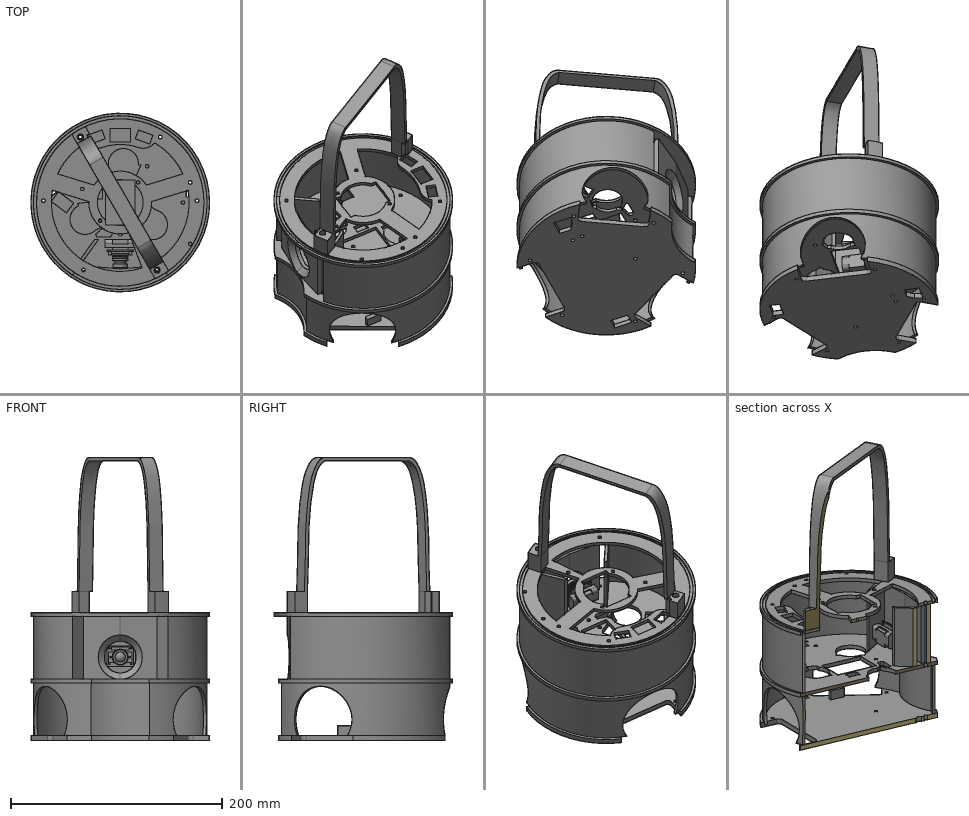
import cadquery as cq
import math

TOTAL_HEIGHT = 268.0
PLATE_DIA = 169.0
WALL_OUTER_DIA = 164.3
WALL_INNER_DIA = 158.5

BASE_TOP = 5.0
MID_BOTTOM = 54.5
MID_TOP = 58.2
LID_BOTTOM = 117.7
LID_TOP = 121.1
LID_GROOVE_DEPTH = 1.5

PLATE_R = PLATE_DIA / 2
WALL_OUTER_R = WALL_OUTER_DIA / 2
WALL_INNER_R = WALL_INNER_DIA / 2
WALL_THICKNESS = WALL_OUTER_R - WALL_INNER_R
RIM_WIDTH = PLATE_R - WALL_OUTER_R

WHEEL_ANGLES = (90, 210, 330)
ARCH_R = 31.4
ARCH_Z = 20.0
WHEEL_SLOT_HALF_WIDTH = 33.8
WHEEL_SLOT_DEPTH_R = 56.3
WHEEL_SLOT_FILLET = 3.8

STOP_X = (46.5, 50.7)
STOP_Y = (-24.0, -9.5)
STOP_TOP = 14.2

FRONT_NOTCH_Y = -122.0
FRONT_NOTCH_R = 52.5

GAP_HALF_WIDTH = 45.0
GAP_Y = -math.sqrt(WALL_OUTER_R**2 - GAP_HALF_WIDTH**2)
BAY_HALF_WIDTH = 20.6
BAY_BACK_Y = -35.0

SCREW_DIA = 3.2
SCREW_R = 72.5
SCREW_ANGLES = (58.6, 1.4, -61.5)

BASE_HOLES = [(-46.0, 4.8), (-45.0, 14.7)]
MIDDLE_HOLES = [(25.5, 34.3), (59.2, 0.0)]
LID_HOLES = [(17.0, 19.0), (-19.0, -17.2), (-36.0, 12.9), (17.2, -39.0), (66.2, 19.0), (66.2, -39.0)]

LEFT_OPENING = [(-72.4, 5.0), (-64.3, 7.0), (-58.0, 11.3), (-58.0, 22.8), (-72.4, 22.8)]
RIGHT_OPENING_X = (62.5, 72.4)
RIGHT_OPENING_Y = (5.4, 22.8)
CABLE_HOLE = (0, -30.0)

MOTOR_HOLE_R = 14.2
MOTOR_HOLE_CENTER_R = 37.0
MOTOR_HOLE_SHIFT = -4.5
MOTOR_CHANNEL = [(36.7, -16.5), (27.3, -13.5), (25.5, 13.5), (36.7, 13.5)]
TILTED_OPENING = (18.0, 11.5)
TILTED_OPENING_CENTER = (-54.7, 0.3)
TILTED_OPENING_ANGLE = -37
CABLE_OPENING = [(-23.3, -30.3), (-22.2, -32.5), (-9.5, -32.5), (-7.8, -30.8), (-7.8, -26.8), (-17.2, -24.0)]
CORNER_OPENING_X = (-24.0, -16.5)
CORNER_OPENING_Y = (3.2, 15.0)

HUB_R = 29.7
HUB_HOLE_R = 21.7
OPENING_R = 65.0
SPOKE_BACK_EDGE = 8.5
SPOKE_FRONT_EDGE = 7.8
SPOKE_ANGLE = 17
ISLAND_R = 55.0
ISLAND_ARC_HALF_ANGLE = 20
ISLAND_BEND = (55.7, 23)
ISLAND_END_HALF_ANGLE = 30
HANDLE_SPOKE = [(5.5, -22.2), (21.5, -63.8), (24.5, -70.2), (38.3, -68.5), (11.0, -22.2)]
SENSOR_WINDOW = (28.0, 43.0)
LID_WINDOW_Y = 63.8
LID_WINDOW = (19.5, 12.9)
SIDE_WINDOW = (14.5, 8.8)
SIDE_WINDOW_R = 66.0
SIDE_WINDOW_OFFSET = 20

HANDLE_ANGLE = -60
HANDLE_WIDTH = 14.7
HANDLE_THICKNESS = 3.2
OUTER_LEG_HALF = 68.5
OUTER_SHOULDER = [(66.7, 206.4), (63.5, 235.8), (60.0, 251.0), (56.0, 260.0), (49.3, 267.2)]
OUTER_TOP_HALF = 45.3
INNER_LEG_HALF = 65.0
INNER_SHOULDER = [(63.2, 204.8), (60.0, 234.2), (56.5, 249.5), (52.8, 258.4)]
INNER_TOP_HALF = 45.5
FOOT_TOP = 141.2
FOOT_INNER = 65.7
FOOT_CLEARANCE = 0.5
FOOT_COUNTERBORE_DIA = 6.0
FOOT_COUNTERBORE_DEPTH = 10.7

PANEL_FRONT_Y = -72.0
PANEL_EDGE_SETBACK = 3.0
PANEL_HALF_WIDTH = 34.5
PANEL_LIP = 4.8
PANEL_THICKNESS = 9.5
PANEL_BACK_HALF_WIDTH = 32.2
LENS_Z = 79.0
PANEL_HOLE_DIA = 30.0
PANEL_CONE_DIA = 41.8
PANEL_CONE_DEPTH = 6.0

CAMERA_BACK_Y = -34.8
HOUSING_STEP_Y = -39.0
HOUSING_FRONT_Y = -42.5
HOUSING_HALF_WIDTH = 14.2
HOUSING_BOTTOM = 71.5
HOUSING_TOP = 87.0
LUG_FILLET = 3.8
CONNECTOR_HALF_WIDTH = 7.5
CONNECTOR_TOP = 85.8
NECK_TOP = 84.5

BOARD_Y = -44.8
BOARD_FRONT_Y = -46.0
BOARD_HALF_WIDTH = 12.5
BOARD_BOTTOM = 70.2
BOARD_TOP = 89.8
HOLDER_FRONT_Y = -49.5
HOLDER_HALF_WIDTH = 11.3
HOLDER_BOTTOM = 74.0
HOLDER_TOP = 84.0
HOLDER_SCREW_X = 9.0
STRIP_FRONT_Y = -48.2
STRIP_HALF_WIDTH = 8.3
STRIP_BOTTOM = 86.0
STRIP_TOP = 88.7
BOARD_HOLE_R = 0.8
BOARD_HOLES = [(10.5, 73.0), (10.5, 87.6)]

BARREL_BACK_Y = HOLDER_FRONT_Y
BARREL_FRONT_Y = -61.5
BARREL_CORE_R = 5.0
BARREL_RINGS = [
    (-49.5, -50.5, 6.7),
    (-50.5, -51.7, 7.5),
    (-51.7, -53.0, 6.7),
    (-53.0, -54.7, 7.5),
    (-54.7, -56.3, 6.0),
    (-58.0, -61.5, 7.0),
]
DOME_R = 4.8
DOME_HEIGHT = 2.5


def polar(radius, angle):
    """Point at a radius and an angle in degrees."""
    return (radius * math.cos(math.radians(angle)), radius * math.sin(math.radians(angle)))


def disc(radius, bottom, top, center=(0, 0)):
    """Upright cylinder between two heights."""
    return cq.Workplane("XY", origin=(*center, bottom)).circle(radius).extrude(top - bottom)


def ring(outer, inner, bottom, top, center=(0, 0)):
    """Upright tube between two heights."""
    return disc(outer, bottom, top, center).cut(disc(inner, bottom, top, center))


def block(x0, x1, y0, y1, z0, z1):
    """Box between two corners."""
    return cq.Workplane("XY").box(x1 - x0, y1 - y0, z1 - z0, centered=False).translate((x0, y0, z0))


def prism(points, bottom, top):
    """Upright prism on a polygon."""
    return cq.Workplane("XY", origin=(0, 0, bottom)).polyline(points).close().extrude(top - bottom)


def holes(points, diameter, bottom, top):
    """Round holes at the given points."""
    plane = cq.Workplane("XY", origin=(0, 0, bottom)).pushPoints(points)
    return plane.circle(diameter / 2).extrude(top - bottom)


def mirrored(points):
    """The points and their mirror images about the YZ plane."""
    return points + [(-x, y) for x, y in points]


def rod(y0, y1, radius, x=0, z=LENS_Z):
    """Cylinder along Y from y0 forwards to y1."""
    return cq.Workplane("XZ", origin=(x, y0, z)).circle(radius).extrude(y0 - y1)


SCREW_POINTS = mirrored([polar(SCREW_R, a) for a in SCREW_ANGLES])


def shared_openings(bottom, top):
    """Openings that line up through the base and middle plates."""
    left = prism(LEFT_OPENING, bottom, top)
    right = block(*RIGHT_OPENING_X, *RIGHT_OPENING_Y, bottom, top)
    return left.union(right).union(holes([CABLE_HOLE], SCREW_DIA, bottom, top))


def front_notch(bottom, top, radius):
    """Cylinder that hollows the front of the lower half."""
    return disc(radius, bottom, top, (0, FRONT_NOTCH_Y))


def wheel_slot(angle):
    """Slot for a wheel, open at the rim and rounded in its inner corners."""
    slot = block(
        WHEEL_SLOT_DEPTH_R, PLATE_DIA, -WHEEL_SLOT_HALF_WIDTH, WHEEL_SLOT_HALF_WIDTH, 0, BASE_TOP
    )
    slot = slot.edges("|Z and <X").fillet(WHEEL_SLOT_FILLET)
    return slot.rotate((0, 0, 0), (0, 0, 1), angle)


def make_base():
    base = disc(PLATE_R, 0, BASE_TOP)
    base = base.cut(front_notch(0, BASE_TOP, FRONT_NOTCH_R - RIM_WIDTH))
    for angle in WHEEL_ANGLES:
        base = base.cut(wheel_slot(angle))
    base = base.cut(holes(SCREW_POINTS + BASE_HOLES, SCREW_DIA, 0, BASE_TOP))
    base = base.cut(shared_openings(0, BASE_TOP))
    stop = block(*STOP_X, *STOP_Y, 0, STOP_TOP)
    return base.union(stop)


def make_lower_wall():
    outside = disc(WALL_OUTER_R, BASE_TOP, MID_BOTTOM)
    outside = outside.cut(front_notch(BASE_TOP, MID_BOTTOM, FRONT_NOTCH_R))
    inside = disc(WALL_INNER_R, BASE_TOP, MID_BOTTOM)
    inside = inside.cut(front_notch(BASE_TOP, MID_BOTTOM, FRONT_NOTCH_R + WALL_THICKNESS))
    wall = outside.cut(inside)
    for angle in WHEEL_ANGLES:
        arch = cq.Workplane("YZ", origin=(0, 0, ARCH_Z)).circle(ARCH_R).extrude(PLATE_DIA)
        wall = wall.cut(arch.rotate((0, 0, 0), (0, 0, 1), angle))
    return wall


def motor_hole(wheel_angle):
    """Round hole with a stepped channel towards the centre, laid out along +X."""
    hole = disc(MOTOR_HOLE_R, MID_BOTTOM, MID_TOP, (MOTOR_HOLE_CENTER_R, 0))
    channel = prism(MOTOR_CHANNEL, MID_BOTTOM, MID_TOP)
    return hole.union(channel).rotate((0, 0, 0), (0, 0, 1), wheel_angle + MOTOR_HOLE_SHIFT)


def cable_openings():
    """Openings near the rim, beside the camera and beside the sensor window."""
    tilted = cq.Workplane("XY", origin=(*TILTED_OPENING_CENTER, MID_BOTTOM))
    tilted = tilted.transformed(rotate=(0, 0, TILTED_OPENING_ANGLE)).rect(*TILTED_OPENING)
    tilted = tilted.extrude(MID_TOP - MID_BOTTOM)
    cable = prism(CABLE_OPENING, MID_BOTTOM, MID_TOP)
    corner = block(*CORNER_OPENING_X, *CORNER_OPENING_Y, MID_BOTTOM, MID_TOP)
    return tilted.union(cable).union(corner)


def make_middle():
    plate = disc(PLATE_R, MID_BOTTOM, MID_TOP)
    plate = plate.cut(front_notch(MID_BOTTOM, MID_TOP, FRONT_NOTCH_R - RIM_WIDTH))
    for angle in WHEEL_ANGLES:
        plate = plate.cut(motor_hole(angle))
    width, length = SENSOR_WINDOW
    plate = plate.cut(block(-width / 2, width / 2, -length / 2, length / 2, MID_BOTTOM, MID_TOP))
    plate = plate.cut(cable_openings())
    plate = plate.cut(shared_openings(MID_BOTTOM, MID_TOP))
    return plate.cut(holes(SCREW_POINTS + MIDDLE_HOLES, SCREW_DIA, MID_BOTTOM, MID_TOP))


def gap_edge(y, offset=0):
    """Point on the left side plane of the camera bay, moved outwards by an offset."""
    slope = (GAP_HALF_WIDTH - BAY_HALF_WIDTH) / (BAY_BACK_Y - GAP_Y)
    shift = offset * math.hypot(1, slope)
    return (-BAY_HALF_WIDTH - slope * (BAY_BACK_Y - y) - shift, y)


def make_upper_wall():
    """Open ring whose two ends turn inwards as the sides of the camera bay."""
    top = LID_TOP - LID_GROOVE_DEPTH
    wall = ring(WALL_OUTER_R, WALL_INNER_R, MID_TOP, top)
    inner = [gap_edge(BAY_BACK_Y), gap_edge(-PLATE_R)]
    outer = [gap_edge(-PLATE_R, WALL_THICKNESS), gap_edge(BAY_BACK_Y, WALL_THICKNESS)]
    wall = wall.cut(prism(inner + [(-x, y) for x, y in reversed(inner)], MID_TOP, top))
    side = prism(inner + outer, MID_TOP, LID_BOTTOM)
    side = side.intersect(disc(WALL_OUTER_R, MID_TOP, LID_BOTTOM))
    return wall.union(side).union(side.mirror("YZ"))


def window_island():
    """Part of the rim that widens inwards to carry the three windows."""
    outer_r = OPENING_R + 2.7
    bend_r, bend_angle = ISLAND_BEND
    left_end = 90 + ISLAND_END_HALF_ANGLE
    right_end = 90 - ISLAND_END_HALF_ANGLE
    left_arc = polar(ISLAND_R, 90 + ISLAND_ARC_HALF_ANGLE)
    right_arc = polar(ISLAND_R, 90 - ISLAND_ARC_HALF_ANGLE)
    island = (
        cq.Workplane("XY", origin=(0, 0, LID_BOTTOM))
        .moveTo(*polar(outer_r, left_end))
        .lineTo(*polar(OPENING_R, left_end))
        .spline([polar(bend_r, 90 + bend_angle), left_arc], includeCurrent=True)
        .threePointArc((0, ISLAND_R), right_arc)
        .spline([polar(bend_r, 90 - bend_angle), polar(OPENING_R, right_end)], includeCurrent=True)
        .lineTo(*polar(outer_r, right_end))
        .threePointArc((0, outer_r), polar(outer_r, left_end))
        .close()
    )
    return island.extrude(LID_TOP - LID_BOTTOM)


def lid_openings():
    """Ring between hub and rim, interrupted by three spokes and the island."""
    openings = ring(OPENING_R, HUB_R, LID_BOTTOM, LID_TOP)
    spoke = block(0, PLATE_R, -SPOKE_FRONT_EDGE, SPOKE_BACK_EDGE, LID_BOTTOM, LID_TOP)
    spoke = spoke.rotate((0, 0, 0), (0, 0, 1), SPOKE_ANGLE)
    openings = openings.cut(spoke).cut(spoke.mirror("YZ"))
    handle_spoke = prism(HANDLE_SPOKE, LID_BOTTOM, LID_TOP)
    return openings.cut(handle_spoke).cut(window_island())


def side_window(side, margin, bottom, top):
    """One of the two windows beside the middle one, grown by a margin."""
    width, depth = SIDE_WINDOW
    turn = -side * SIDE_WINDOW_OFFSET
    window = block(
        -width / 2 - margin, width / 2 + margin,
        SIDE_WINDOW_R - depth / 2 - margin, SIDE_WINDOW_R + depth / 2 + margin, bottom, top,
    )
    return window.rotate((0, 0, 0), (0, 0, 1), turn)


def make_lid(upper_wall):
    lid = disc(PLATE_R, LID_BOTTOM, LID_TOP).cut(lid_openings())
    groove_floor = LID_TOP - LID_GROOVE_DEPTH
    lid = lid.cut(ring(WALL_OUTER_R, WALL_INNER_R, groove_floor, LID_TOP)).cut(upper_wall)
    width, length = SENSOR_WINDOW
    lid = lid.cut(disc(HUB_HOLE_R, LID_BOTTOM, LID_TOP))
    lid = lid.cut(block(-width / 2, width / 2, -length / 2, length / 2, LID_BOTTOM, LID_TOP))
    width, depth = LID_WINDOW
    lid = lid.cut(block(
        -width / 2, width / 2, LID_WINDOW_Y - depth / 2, LID_WINDOW_Y + depth / 2, LID_BOTTOM, LID_TOP
    ))
    for side in (-1, 1):
        lid = lid.cut(side_window(side, 0, LID_BOTTOM, LID_TOP))
    return lid.cut(holes(SCREW_POINTS + LID_HOLES, SCREW_DIA, LID_BOTTOM, LID_TOP))


def arch(leg_half, shoulder, top_half, top):
    """Solid arch over the lid, one handle width thick."""
    left_shoulder = [(-s, z) for s, z in reversed(shoulder)]
    return (
        cq.Workplane("XZ", origin=(0, HANDLE_WIDTH / 2, 0))
        .moveTo(leg_half, LID_TOP)
        .lineTo(leg_half, FOOT_TOP)
        .spline(shoulder + [(top_half, top)], includeCurrent=True)
        .lineTo(-top_half, top)
        .spline(left_shoulder + [(-leg_half, FOOT_TOP)], includeCurrent=True)
        .lineTo(-leg_half, LID_TOP)
        .close()
        .extrude(HANDLE_WIDTH)
    )


def make_handle():
    handle = arch(OUTER_LEG_HALF, OUTER_SHOULDER, OUTER_TOP_HALF, TOTAL_HEIGHT)
    inner_top = TOTAL_HEIGHT - HANDLE_THICKNESS
    handle = handle.cut(arch(INNER_LEG_HALF, INNER_SHOULDER, INNER_TOP_HALF, inner_top))
    half = HANDLE_WIDTH / 2
    for x0, x1 in ((-PLATE_R, -FOOT_INNER), (FOOT_INNER, PLATE_R)):
        foot = block(x0, x1, -half, half, LID_TOP, FOOT_TOP)
        handle = handle.union(foot.intersect(disc(WALL_INNER_R, LID_TOP, FOOT_TOP)))
    handle = handle.rotate((0, 0, 0), (0, 0, 1), HANDLE_ANGLE)
    handle = handle.cut(side_window(-1, FOOT_CLEARANCE, LID_TOP, FOOT_TOP))
    screws = [polar(SCREW_R, SCREW_ANGLES[2]), polar(SCREW_R, 180 - SCREW_ANGLES[0])]
    handle = handle.cut(holes(screws, SCREW_DIA, LID_TOP, FOOT_TOP))
    bore_floor = FOOT_TOP - FOOT_COUNTERBORE_DEPTH
    return handle.cut(holes(screws, FOOT_COUNTERBORE_DIA, bore_floor, FOOT_TOP))


def bent_slab(half_width, front_offset, back_offset):
    """Slab bent forwards at its middle, between two depths behind the front face."""
    setback = PANEL_EDGE_SETBACK * half_width / PANEL_HALF_WIDTH
    front = PANEL_FRONT_Y + front_offset
    back = PANEL_FRONT_Y + back_offset
    outline = [
        (-half_width, front + setback), (0, front), (half_width, front + setback),
        (half_width, back + setback), (0, back), (-half_width, back + setback),
    ]
    return prism(outline, MID_TOP, LID_BOTTOM)


def half_cone(side):
    """Half of the funnel round the hole, square to one of the two front faces."""
    tilt = math.atan2(PANEL_EDGE_SETBACK, PANEL_HALF_WIDTH)
    axis = cq.Vector(-side * math.sin(tilt), math.cos(tilt), 0)
    mouth = cq.Vector(0, PANEL_FRONT_Y, LENS_Z)
    cone = cq.Solid.makeCone(PANEL_CONE_DIA / 2, PANEL_HOLE_DIA / 2, PANEL_CONE_DEPTH, mouth, axis)
    x0, x1 = sorted((0, side * PLATE_R))
    return cq.Workplane(cone).intersect(block(x0, x1, -PLATE_R, 0, MID_TOP, LID_BOTTOM))


def make_panel():
    panel = bent_slab(PANEL_HALF_WIDTH, 0, PANEL_LIP)
    panel = panel.union(bent_slab(PANEL_BACK_HALF_WIDTH, PANEL_LIP, PANEL_THICKNESS))
    panel = panel.cut(rod(0, -PLATE_R, PANEL_HOLE_DIA / 2))
    return panel.cut(half_cone(-1)).cut(half_cone(1))


def make_camera_housing():
    w = HOUSING_HALF_WIDTH
    body = block(-w, w, HOUSING_FRONT_Y, HOUSING_STEP_Y, HOUSING_BOTTOM, HOUSING_TOP)
    lugs = block(-w, w, HOUSING_STEP_Y, CAMERA_BACK_Y, HOUSING_BOTTOM, HOUSING_TOP)
    lugs = lugs.edges("|X and >Y").fillet(LUG_FILLET)
    c = CONNECTOR_HALF_WIDTH
    connector = block(-c, c, HOUSING_STEP_Y, CAMERA_BACK_Y, HOUSING_BOTTOM, CONNECTOR_TOP)
    lugs = lugs.cut(block(-c, c, HOUSING_STEP_Y, CAMERA_BACK_Y, HOUSING_BOTTOM, HOUSING_TOP))
    neck = block(-c, c, BOARD_Y, HOUSING_FRONT_Y, HOUSING_BOTTOM, NECK_TOP)
    return body.union(lugs).union(connector).union(neck)


def make_board():
    w = BOARD_HALF_WIDTH
    board = block(-w, w, BOARD_FRONT_Y, BOARD_Y, BOARD_BOTTOM, BOARD_TOP)
    w = HOLDER_HALF_WIDTH
    holder = block(-w, w, HOLDER_FRONT_Y, BOARD_FRONT_Y, HOLDER_BOTTOM, HOLDER_TOP)
    w = STRIP_HALF_WIDTH
    strip = block(-w, w, STRIP_FRONT_Y, BOARD_FRONT_Y, STRIP_BOTTOM, STRIP_TOP)
    board = board.union(holder).union(strip)
    for x, z in mirrored(BOARD_HOLES + [(HOLDER_SCREW_X, LENS_Z)]):
        board = board.cut(rod(BOARD_Y, HOLDER_FRONT_Y, BOARD_HOLE_R, x, z))
    return board


def make_lens():
    lens = rod(BARREL_BACK_Y, BARREL_FRONT_Y, BARREL_CORE_R)
    for y0, y1, radius in BARREL_RINGS:
        lens = lens.union(rod(y0, y1, radius))
    sphere_r = (DOME_R**2 + DOME_HEIGHT**2) / (2 * DOME_HEIGHT)
    sphere_y = BARREL_FRONT_Y - DOME_HEIGHT + sphere_r
    dome = cq.Workplane("XY", origin=(0, sphere_y, LENS_Z)).sphere(sphere_r)
    return lens.union(dome.intersect(rod(BARREL_FRONT_Y, -PLATE_R, DOME_R)))


base = make_base()
lower_wall = make_lower_wall()
middle = make_middle()
upper_wall = make_upper_wall()
lid = make_lid(upper_wall)
handle = make_handle()
panel = make_panel()
camera_housing = make_camera_housing()
board = make_board()
lens = make_lens()

result = cq.Compound.makeCompound([
    base.val(), lower_wall.val(), middle.val(), upper_wall.val(), lid.val(),
    handle.val(), panel.val(), camera_housing.val(), board.val(), lens.val(),
])